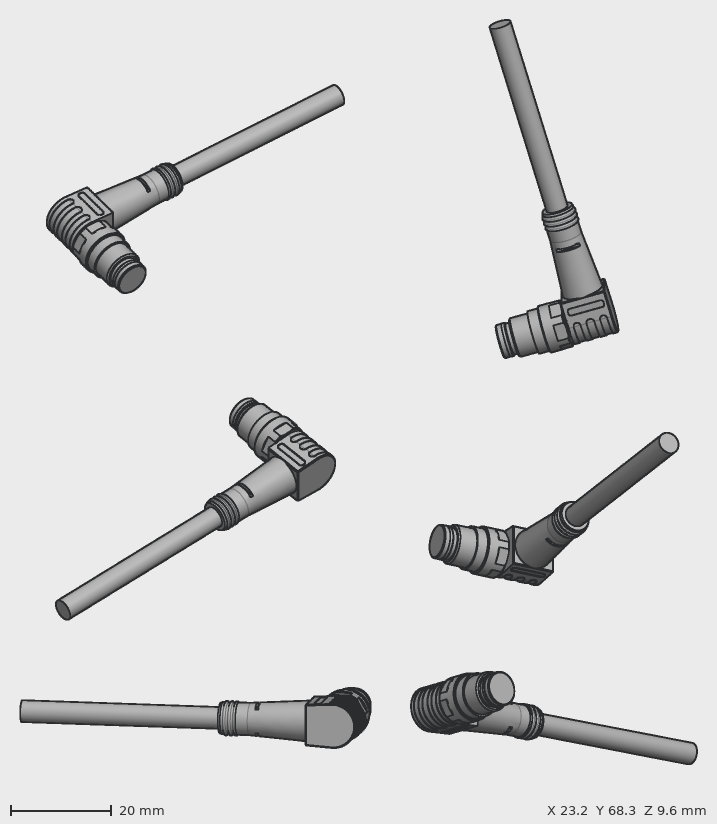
import cadquery as cq
import math


CABLE_DIA = 4.4
OVERALL_LENGTH = 68.3
BOOT_DIA = 6.5
BOOT_END_Y = 23.5
BOOT_CHAMFER_LENGTH = 0.5
BOOT_CHAMFER_DEPTH = 0.2
RING_COUNT = 3
RING_PITCH = 1.0
RING_HEIGHT = 0.2
BOOT_TAPER_START_Y = 17.55
BOOT_ROOT_DIA = 8.2

NOTCH_Y = 15.8
NOTCH_WIDTH = 0.6
NOTCH_FLOOR_Z = 2.4

HEAD_DIA = 8.95
HEAD_WIDTH = 9.0
HEAD_BACK_Y = 5.6
HEAD_TAPER_DEGREES = 3.6
HEAD_CHAMFER = 0.2

GROOVE_CENTERS_X = (-2.7, 0.0, 2.7)
GROOVE_WIDTHS = (1.45, 1.65, 1.45)
GROOVE_DEPTH = 0.15
GROOVE_END_RISE = 0.6
LABEL_LENGTH = 7.4
LABEL_WIDTH = 1.45
LABEL_CORNER_RADIUS = 0.51
LABEL_Y = 3.3
LABEL_FLOOR_Z = 4.1

NECK_DIA = 5.9
NUT_DIA = 9.6
NUT_START_X = 4.9
NUT_END_X = 9.6
COLLAR_DIA = 8.8
COLLAR_END_X = 11.8
SLEEVE_DIA = 8.0
SLEEVE_END_X = 15.85
SLEEVE_CHAMFER = 0.35
TIP_NECK_DIA = 6.5
TIP_START_X = 16.65
TIP_RIM_DIA = 6.9
TIP_RIM_END_X = 17.5
TIP_DIA = 6.8
TIP_END_X = 18.7
EDGE_CHAMFER = 0.2

FLAT_COUNT = 6
FLAT_DISTANCE = 4.5
FLAT_END_X = 7.25

CABLE_END_Y = OVERALL_LENGTH - NUT_DIA / 2
HEAD_RADIUS = HEAD_DIA / 2
HEAD_LEFT_X = -HEAD_WIDTH / 2
TANGENT_ANGLE = math.radians(HEAD_TAPER_DEGREES)


def head_prism(radius, start_x, width):
    """Half-round nose with tangent tapering flanks, extruded along X."""
    tangent_y = radius * math.sin(TANGENT_ANGLE)
    tangent_z = radius * math.cos(TANGENT_ANGLE)
    back_z = tangent_z - (HEAD_BACK_Y - tangent_y) * math.tan(TANGENT_ANGLE)
    return (
        cq.Workplane("YZ", origin=(start_x, 0, 0))
        .moveTo(HEAD_BACK_Y, -back_z)
        .lineTo(tangent_y, -tangent_z)
        .threePointArc((-radius, 0), (tangent_y, tangent_z))
        .lineTo(HEAD_BACK_Y, back_z)
        .close()
        .extrude(width)
    )


def grip_groove(center_x, width):
    """Shallow band round the nose with arched ends on the flanks."""
    start_x = center_x - width / 2
    end_y = HEAD_RADIUS * math.sin(TANGENT_ANGLE)
    outer = head_prism(HEAD_RADIUS + GROOVE_DEPTH, start_x, width)
    core = head_prism(HEAD_RADIUS - GROOVE_DEPTH, start_x, width)
    band_plan = (
        cq.Workplane("XY", origin=(center_x, 0, -HEAD_DIA))
        .moveTo(-width / 2, -HEAD_DIA)
        .lineTo(width / 2, -HEAD_DIA)
        .lineTo(width / 2, end_y)
        .threePointArc((0, end_y + GROOVE_END_RISE), (-width / 2, end_y))
        .close()
        .extrude(2 * HEAD_DIA)
    )
    return outer.cut(core).intersect(band_plan)


def label_recess(side):
    """Rounded recess with a level floor on the top (+1) or bottom (-1) flank."""
    return (
        cq.Workplane("XY", origin=(0, LABEL_Y, side * LABEL_FLOOR_Z))
        .rect(LABEL_LENGTH, LABEL_WIDTH)
        .extrude(side * HEAD_RADIUS)
        .edges("|Z")
        .fillet(LABEL_CORNER_RADIUS)
    )


def make_head():
    head = head_prism(HEAD_RADIUS, HEAD_LEFT_X, HEAD_WIDTH)
    head = head.faces("<X or >Y").edges().chamfer(HEAD_CHAMFER)
    for center_x, width in zip(GROOVE_CENTERS_X, GROOVE_WIDTHS):
        head = head.cut(grip_groove(center_x, width))
    for side in (1, -1):
        head = head.cut(label_recess(side))
    return head


def make_cable_and_boot():
    """Cable, ringed boot end and tapered boot, turned about the Y axis."""
    boot_radius = BOOT_DIA / 2
    half_pitch = RING_PITCH / 2
    wave_y = BOOT_END_Y - BOOT_CHAMFER_LENGTH
    profile = (
        cq.Workplane("XY")
        .moveTo(0, CABLE_END_Y)
        .lineTo(CABLE_DIA / 2, CABLE_END_Y)
        .lineTo(CABLE_DIA / 2, BOOT_END_Y)
        .lineTo(boot_radius - BOOT_CHAMFER_DEPTH, BOOT_END_Y)
        .lineTo(boot_radius, wave_y)
    )
    for _ in range(RING_COUNT):
        for rise in (-RING_HEIGHT, RING_HEIGHT):
            profile = profile.threePointArc(
                (boot_radius + rise, wave_y - half_pitch / 2),
                (boot_radius, wave_y - half_pitch),
            )
            wave_y -= half_pitch
    boot = (
        profile.lineTo(boot_radius, BOOT_TAPER_START_Y)
        .lineTo(BOOT_ROOT_DIA / 2, HEAD_BACK_Y)
        .lineTo(BOOT_ROOT_DIA / 2, HEAD_BACK_Y - HEAD_CHAMFER)
        .lineTo(0, HEAD_BACK_Y - HEAD_CHAMFER)
        .close()
        .revolve(360, (0, 0, 0), (0, 1, 0))
    )
    for side in (1, -1):
        notch = (
            cq.Workplane("XY", origin=(0, NOTCH_Y, side * NOTCH_FLOOR_Z))
            .rect(BOOT_ROOT_DIA, NOTCH_WIDTH)
            .extrude(side * BOOT_DIA)
        )
        boot = boot.cut(notch)
    return boot


def disc(dia, start_x, end_x):
    """Round section of the plug between two places along X."""
    return cq.Workplane("YZ", origin=(start_x, 0, 0)).circle(dia / 2).extrude(end_x - start_x)


def make_nut():
    nut = disc(NUT_DIA, NUT_START_X, NUT_END_X).edges().chamfer(EDGE_CHAMFER)
    flat_length = FLAT_END_X - NUT_START_X
    for index in range(FLAT_COUNT):
        flat = (
            cq.Workplane("XY", origin=(NUT_START_X, 0, FLAT_DISTANCE))
            .rect(2 * flat_length, NUT_DIA)
            .extrude(NUT_DIA)
            .rotate((0, 0, 0), (1, 0, 0), index * 360 / FLAT_COUNT)
        )
        nut = nut.cut(flat)
    return nut


def make_plug():
    neck = disc(NECK_DIA, 0, NUT_END_X)
    collar = disc(COLLAR_DIA, NUT_START_X + EDGE_CHAMFER, COLLAR_END_X)
    sleeve = disc(SLEEVE_DIA, NUT_END_X, SLEEVE_END_X).faces(">X").edges().chamfer(SLEEVE_CHAMFER)
    tip_neck = disc(TIP_NECK_DIA, NUT_END_X, TIP_END_X - EDGE_CHAMFER)
    tip_rim = disc(TIP_RIM_DIA, TIP_START_X, TIP_RIM_END_X).faces("<X").edges().chamfer(EDGE_CHAMFER)
    tip = disc(TIP_DIA, TIP_RIM_END_X, TIP_END_X).faces(">X").edges().chamfer(EDGE_CHAMFER)
    plug = neck.union(make_nut())
    for section in (collar, sleeve, tip_neck, tip_rim, tip):
        plug = plug.union(section)
    return plug


result = make_head().union(make_cable_and_boot()).union(make_plug())